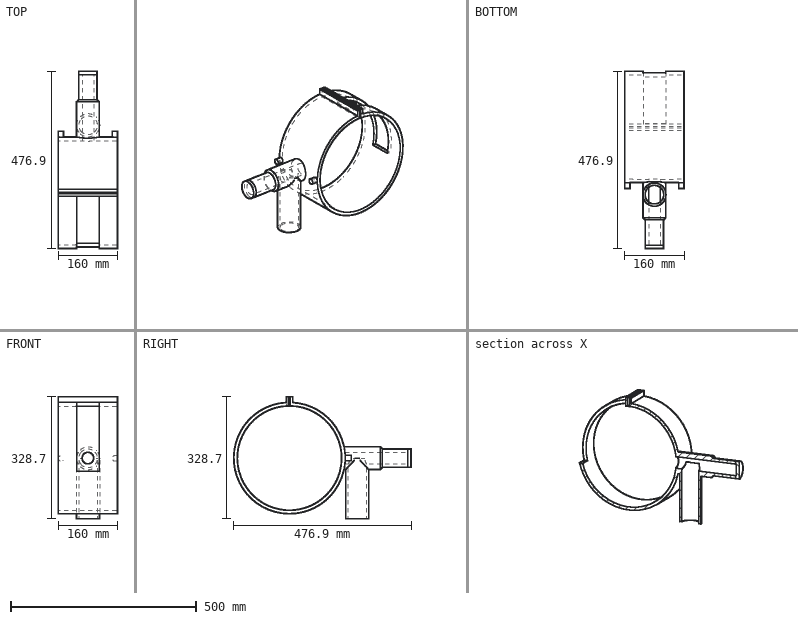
import cadquery as cq

ring_width = 160.0
ring_outer_radius = 150.0
ring_wall = 10.0
ring_inner_radius = ring_outer_radius - ring_wall

split_gap = 4.0
lug_thickness = 7.0
lug_top = 165.0

window_width = 60.0
window_bottom = -35.0
window_top = 149.7
window_back = -lug_thickness - split_gap / 2

pin_diameter = 15.0
pin_end = 166.0
pin_offset = (ring_width - pin_diameter) / 2

pipe_diameter = 61.6
spigot_diameter = 50.0
shoulder_end = 250.0
shoulder_chamfer = (pipe_diameter - spigot_diameter) / 2
cap_end = 326.93
cap_length = 9.0
spigot_end = cap_end - cap_length
bore_diameter = 31.0

branch_diameter = 62.5
branch_bore_diameter = 50.0
branch_center = 182.0
branch_bottom = -163.73


def y_cylinder(diameter, start, end, x=0.0):
    """Cylinder along +Y at height zero, between two Y positions."""
    plane = cq.Plane(origin=(x, start, 0), xDir=(1, 0, 0), normal=(0, 1, 0))
    return cq.Workplane(plane).circle(diameter / 2).extrude(end - start)


def x_cylinder(radius):
    """Cylinder along X around the origin, as wide as the ring, with its seam at the top."""
    plane = cq.Plane(origin=(-ring_width / 2, 0, 0), xDir=(0, 0, 1), normal=(1, 0, 0))
    return cq.Workplane(plane).circle(radius).extrude(ring_width)


def branch_cylinder(diameter):
    """Vertical cylinder from the bottom of the branch up to the axis of the main pipe."""
    plane = cq.Workplane("XY", origin=(0, branch_center, branch_bottom))
    return plane.circle(diameter / 2).extrude(-branch_bottom)


def upright_plate(thickness):
    """Plate across the ring width, rising from the ring axis to the top of the lugs."""
    return cq.Workplane("XY").box(ring_width, thickness, lug_top, centered=(True, True, False))


def make_pipes():
    """Main pipe with its chamfered shoulder and spigot, and the branch below it."""
    main_pipe = y_cylinder(pipe_diameter, 0, shoulder_end).faces(">Y").chamfer(shoulder_chamfer)
    spigot = y_cylinder(spigot_diameter, shoulder_end, spigot_end)
    return main_pipe.union(spigot).union(branch_cylinder(branch_diameter))


def make_window():
    """Block that opens the window from the front of the ring back to the front lug."""
    window_depth = ring_outer_radius + window_back
    window_height = window_top - window_bottom
    return (
        cq.Workplane("XY", origin=(0, window_back - window_depth / 2, window_bottom))
        .box(window_width, window_depth, window_height, centered=(True, True, False))
    )


def make_clamp():
    """Split ring with lugs, window and terminal pins, joined to the bored pipes."""
    clamp = x_cylinder(ring_outer_radius)
    clamp = clamp.union(upright_plate(split_gap + 2 * lug_thickness))
    clamp = clamp.union(make_pipes())
    for side in (-1, 1):
        clamp = clamp.union(y_cylinder(pin_diameter, 0, pin_end, side * pin_offset))
    clamp = clamp.cut(x_cylinder(ring_inner_radius))
    clamp = clamp.cut(upright_plate(split_gap))
    clamp = clamp.cut(make_window())
    clamp = clamp.cut(y_cylinder(bore_diameter, 0, spigot_end))
    return clamp.cut(branch_cylinder(branch_bore_diameter))


def make_end_cap():
    """Disc that closes the open end of the spigot."""
    return y_cylinder(spigot_diameter, spigot_end, cap_end)


clamp = make_clamp()
end_cap = make_end_cap()
result = cq.Compound.makeCompound([clamp.val(), end_cap.val()])